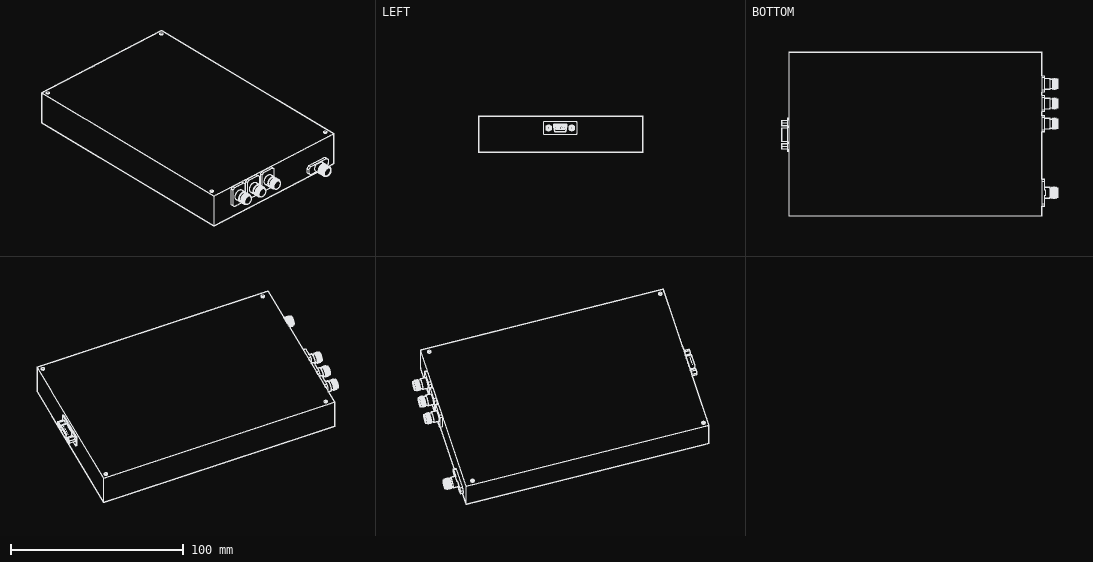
import cadquery as cq
import math

total_length = 160.0
front_reach = 4.2
rear_reach = 9.3
body_length = total_length - front_reach - rear_reach
body_width = 95.0
body_height = 21.0
front_x = -body_length / 2
rear_x = body_length / 2
overlap = 0.3

screw_inset = 2.5
screw_rear_inset = 4.6
screw_head_diameter = 2.1
screw_hole_diameter = 1.0
screw_hole_depth = 2.4
countersink_angle = 82

connector_y = 0.3
connector_z = 14.1
plate_width = 19.5
plate_height = 7.7
plate_thickness = 0.6
plate_corner_radius = 0.8
shell_top_width = 8.3
shell_bottom_width = 6.5
shell_height = 4.8
shell_corner_radius = 0.8
shell_wall = 0.24
insert_top_width = 6.7
insert_bottom_width = 5.3
insert_height = 2.5
insert_top_gap = 0.6
insert_setback = 1.3
pin_diameter = 0.6
pin_pitch = 1.3
pin_row_gap = 1.1
pin_length = 0.8

post_spacing = 13.5
post_across_flats = 3.2
post_hole_diameter = 1.3
post_mouth_diameter = 2.2
post_mouth_angle = 90
post_hole_depth = 2.4

flange_thickness = 1.6
upper_coax_z = 14.2
upper_coax_y = (-6.1, -17.8, -29.1)
upper_flange_width = 9.5
upper_flange_height = 13.1
upper_flange_chamfer = 1.1
lower_coax_z = 5.0
lower_coax_y = 34.0
lower_flange_width = 15.7
lower_flange_height = 5.6
lower_flange_chamfer = 1.5
collar_length = 0.5
barrel_radius = 3.2
barrel_end = 4.6
neck_radius = 2.7
thread_pitch = 0.8
upper_thread_start = 6.1
upper_thread_count = 3
lower_thread_start = 5.5
lower_thread_count = 4


def front_sketch(x, y, z):
    """Workplane facing -X; its local x runs along -Y and its local y along +Z."""
    plane = cq.Plane(origin=(x, y, z), xDir=(0, -1, 0), normal=(-1, 0, 0))
    return cq.Workplane(plane)


def rear_sketch(x, y, z):
    """Workplane facing +X; its local x runs along +Y and its local y along +Z."""
    plane = cq.Plane(origin=(x, y, z), xDir=(0, 1, 0), normal=(1, 0, 0))
    return cq.Workplane(plane)


def housing():
    screw_x = (front_x + screw_inset, rear_x - screw_rear_inset)
    screw_y = body_width / 2 - screw_inset
    screw_points = [(x, side * screw_y) for x in screw_x for side in (-1, 1)]
    return (
        cq.Workplane("XY")
        .box(body_length, body_width, body_height, centered=(True, True, False))
        .faces(">Z").workplane(origin=(0, 0, body_height))
        .pushPoints(screw_points)
        .cskHole(screw_hole_diameter, screw_head_diameter, countersink_angle, screw_hole_depth)
    )


def d_prism(x, top_z, top_width, bottom_width, height, length, corner_radius):
    """D-shaped block growing toward -X, wider at the top, with rounded long edges."""
    outline = [
        (-top_width / 2, 0),
        (top_width / 2, 0),
        (bottom_width / 2, -height),
        (-bottom_width / 2, -height),
    ]
    block = front_sketch(x, connector_y, top_z).polyline(outline).close().extrude(length)
    return block.edges("|X").fillet(corner_radius)


def pin_points():
    """Five pins in the upper row and four staggered below."""
    points = []
    for count, height in ((5, pin_row_gap / 2), (4, -pin_row_gap / 2)):
        for i in range(count):
            points.append(((i - (count - 1) / 2) * pin_pitch, height))
    return points


def jack_post(y):
    """Hexagonal post with its corners up and down and a countersunk hole in its end."""
    across_corners = post_across_flats / math.cos(math.pi / 6)
    return (
        front_sketch(front_x - plate_thickness, y, connector_z)
        .transformed(rotate=(0, 0, 90))
        .polygon(6, across_corners)
        .extrude(front_reach - plate_thickness)
        .faces("<X").workplane()
        .cskHole(post_hole_diameter, post_mouth_diameter, post_mouth_angle, post_hole_depth)
    )


def pin_connector():
    plate = (
        front_sketch(front_x + overlap, connector_y, connector_z)
        .rect(plate_width, plate_height)
        .extrude(plate_thickness + overlap)
        .edges("|X").fillet(plate_corner_radius)
    )
    shell_top_z = connector_z + shell_height / 2
    plate_face_x = front_x - plate_thickness
    shell_length = front_reach - plate_thickness
    shell = d_prism(
        plate_face_x + overlap, shell_top_z, shell_top_width, shell_bottom_width,
        shell_height, shell_length + overlap, shell_corner_radius,
    )
    cavity = d_prism(
        plate_face_x, shell_top_z - shell_wall, shell_top_width - 2 * shell_wall,
        shell_bottom_width - 2 * shell_wall, shell_height - 2 * shell_wall,
        shell_length, shell_corner_radius - shell_wall,
    )
    insert_top_z = shell_top_z - insert_top_gap
    insert = d_prism(
        plate_face_x + overlap, insert_top_z, insert_top_width, insert_bottom_width,
        insert_height, shell_length - insert_setback + overlap, shell_corner_radius - shell_wall,
    )
    insert_face_x = front_x - front_reach + insert_setback
    pins = (
        front_sketch(insert_face_x + overlap, connector_y, insert_top_z - insert_height / 2)
        .pushPoints(pin_points())
        .circle(pin_diameter / 2)
        .extrude(pin_length + overlap)
    )
    connector = plate.union(shell).cut(cavity).union(insert).union(pins)
    for side in (-1, 1):
        connector = connector.union(jack_post(connector_y + side * post_spacing / 2))
    return connector


def coax_body(y, z, thread_start, thread_count):
    """Turned barrel, neck, thread ridges and end, revolved about an axis along X."""
    barrel_start = flange_thickness + collar_length
    outline = [
        (barrel_start, 0),
        (barrel_start, barrel_radius),
        (barrel_end, barrel_radius),
        (barrel_end, neck_radius),
    ]
    for i in range(thread_count):
        ridge_start = thread_start + i * thread_pitch
        outline.append((ridge_start, neck_radius))
        outline.append((ridge_start + thread_pitch / 2, barrel_radius))
    outline += [
        (thread_start + thread_count * thread_pitch, neck_radius),
        (rear_reach, neck_radius),
        (rear_reach, 0),
    ]
    turned = cq.Workplane("XY").polyline(outline).close().revolve(360, (0, 0, 0), (1, 0, 0))
    return turned.translate((rear_x, y, z))


def coax_flange(y, z, width, height, chamfer):
    """Plate with cut corners, and the collar that leads into the barrel."""
    plate = (
        rear_sketch(rear_x - overlap, y, z)
        .rect(width, height)
        .extrude(flange_thickness + overlap)
        .edges("|X").chamfer(chamfer)
    )
    collar_start_x = rear_x + flange_thickness
    collar = rear_sketch(collar_start_x, y, z).circle(barrel_radius).extrude(collar_length)
    collar_limits = rear_sketch(collar_start_x, y, z).rect(width, height).extrude(collar_length)
    return plate.union(collar.intersect(collar_limits))


upper_flange = (upper_flange_width, upper_flange_height, upper_flange_chamfer)
lower_flange = (lower_flange_width, lower_flange_height, lower_flange_chamfer)

result = housing().union(pin_connector())

for coax_y in upper_coax_y:
    result = result.union(coax_flange(coax_y, upper_coax_z, *upper_flange))
    result = result.union(coax_body(coax_y, upper_coax_z, upper_thread_start, upper_thread_count))

result = result.union(coax_flange(lower_coax_y, lower_coax_z, *lower_flange))
result = result.union(coax_body(lower_coax_y, lower_coax_z, lower_thread_start, lower_thread_count))